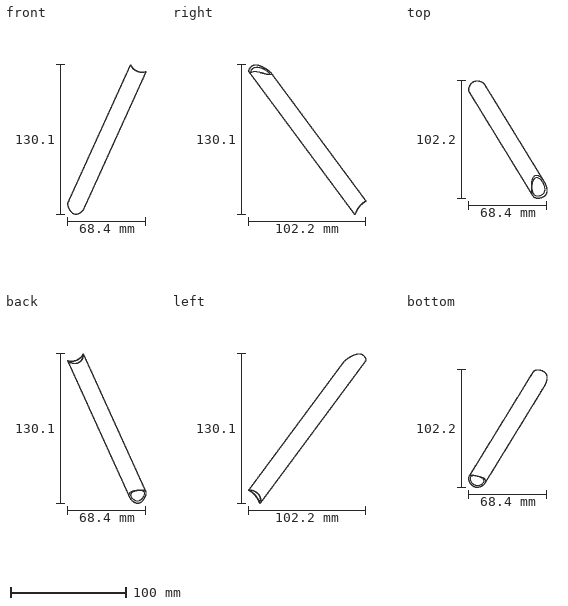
import cadquery as cq


TUBE_DIAMETER = 15.0
TUBE_WALL = 1.5
NODE_DISTANCE = 177.6

SHIFT_X_PER_RISE = 0.454
SHIFT_Y_PER_RISE = -0.741

LOWER_PIPE_DIAMETER = 23.6
LOWER_PIPE_OFFSET = 1.68
LOWER_PIPE_DIRECTION = cq.Vector(1, 0.232, -0.055)

UPPER_PIPE_DIAMETER = 19.2
UPPER_PIPE_OFFSET = 0.0
UPPER_PIPE_DIRECTION = cq.Vector(-0.077, 1, -0.126)

BORE_DIAMETER = TUBE_DIAMETER - 2 * TUBE_WALL
PIPE_LENGTH = 6 * TUBE_DIAMETER
TUBE_DIRECTION = cq.Vector(SHIFT_X_PER_RISE, SHIFT_Y_PER_RISE, 1).normalized()
LOWER_NODE = cq.Vector(0, 0, 0)
UPPER_NODE = LOWER_NODE + TUBE_DIRECTION * NODE_DISTANCE


def straight_tube():
    """Hollow tube from node to node, with its ends still square."""
    section = cq.Plane(origin=LOWER_NODE, xDir=cq.Vector(-1, 0, 0), normal=TUBE_DIRECTION)
    return (
        cq.Workplane(section)
        .circle(TUBE_DIAMETER / 2)
        .circle(BORE_DIAMETER / 2)
        .extrude(NODE_DISTANCE)
    )


def crossing_pipe(node, direction, diameter, offset):
    """Solid pipe across the tube at a node, its axis set off sideways from the tube's axis."""
    along = direction.normalized()
    sideways = TUBE_DIRECTION.cross(along).normalized()
    start = node + sideways * offset - along * (PIPE_LENGTH / 2)
    return cq.Workplane(cq.Solid.makeCylinder(diameter / 2, PIPE_LENGTH, start, along))


lower_pipe = crossing_pipe(LOWER_NODE, LOWER_PIPE_DIRECTION, LOWER_PIPE_DIAMETER, LOWER_PIPE_OFFSET)
upper_pipe = crossing_pipe(UPPER_NODE, UPPER_PIPE_DIRECTION, UPPER_PIPE_DIAMETER, UPPER_PIPE_OFFSET)

result = straight_tube().cut(lower_pipe).cut(upper_pipe)